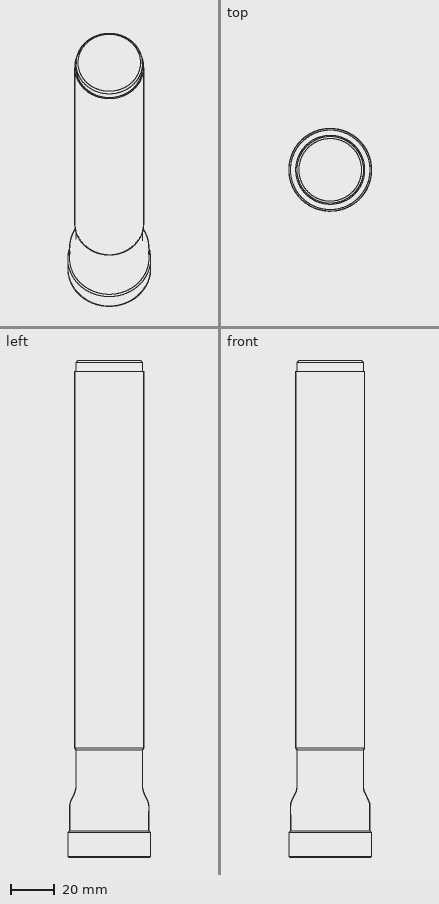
import cadquery as cq

total_height = 228.5
cap_height = 5.0
shank_bottom = 49.4
taper_top = 31.0
taper_bottom = 25.0
foot_height = 12.1

foot_diameter = 38.2
collar_diameter = 36.5
shank_diameter = 31.8
neck_diameter = 30.6
cap_diameter = neck_diameter

taper_blend = 5.0
foot_chamfer = 0.5
shank_bevel_height = 1.0
cap_chamfer = 1.0

foot_radius = foot_diameter / 2
collar_radius = collar_diameter / 2
shank_radius = shank_diameter / 2
neck_radius = neck_diameter / 2
foot_step = foot_radius - collar_radius
shank_top = total_height - cap_height


def make_handle():
    """Turned handle: foot, collar, blended taper, neck and shank."""
    profile = (
        cq.Workplane("XZ")
        .moveTo(0, 0)
        .lineTo(foot_radius - foot_chamfer, 0)
        .lineTo(foot_radius, foot_chamfer)
        .lineTo(foot_radius, foot_height - foot_step)
        .lineTo(collar_radius, foot_height)
        .lineTo(collar_radius, taper_bottom)
        .lineTo(neck_radius, taper_top)
        .lineTo(neck_radius, shank_bottom)
        .lineTo(shank_radius, shank_bottom + shank_bevel_height)
        .lineTo(shank_radius, shank_top)
        .lineTo(0, shank_top)
        .close()
    )
    handle = profile.revolve(360, (0, 0, 0), (0, 1, 0))
    taper_ends = cq.selectors.BoxSelector(
        (-foot_radius, -foot_radius, foot_height + taper_blend),
        (foot_radius, foot_radius, shank_bottom - taper_blend),
    )
    return handle.edges(taper_ends).edges("%CIRCLE").fillet(taper_blend)


def make_cap():
    """Plain disc with a chamfered top rim, seated on top of the shank."""
    cap = cq.Workplane("XY").workplane(offset=shank_top).circle(cap_diameter / 2).extrude(cap_height)
    return cap.faces(">Z").edges().chamfer(cap_chamfer)


handle = make_handle()
cap = make_cap()

result = cq.Compound.makeCompound([handle.val(), cap.val()])